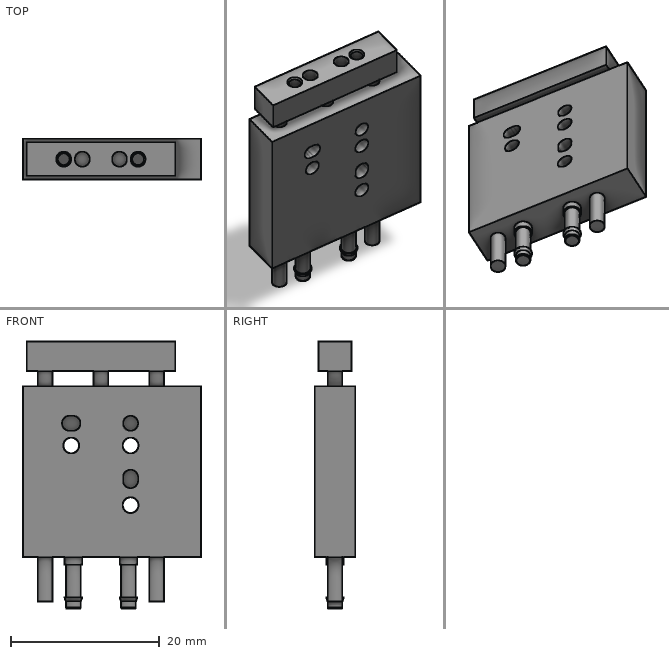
import cadquery as cq

HOUSING_LENGTH = 24.0
HOUSING_WIDTH = 5.5
HOUSING_HEIGHT = 23.0

BAR_LENGTH = 20.0
BAR_WIDTH = 4.5
BAR_HEIGHT = 4.0
BAR_OFFSET = 0.5
BAR_GAP = 2.0
ROD_DIAMETER = 2.0
GUIDE_ROD_SPACING = 15.0
GUIDE_ROD_PROTRUSION = 6.0

DOWEL_DIAMETER = 2.0
DOWEL_SPACING = 5.0
DOWEL_DEPTH = 2.0
SCREW_DIAMETER = 1.6
SCREW_MOUTH_DIAMETER = 2.0
SCREW_SPACING = 10.0
SCREW_DEPTH = 3.0
SCREW_MOUTH_DEPTH = (SCREW_MOUTH_DIAMETER - SCREW_DIAMETER) / 2

FITTING_SPACING = 7.4
FITTING_LENGTH = 7.0
STEM_RADIUS = 2.0 / 2
COLLAR_RADIUS = 2.4 / 2
COLLAR_LENGTH = 1.0
BARB_TOP = 5.45
BARB_HEIGHT = 0.55
TIP_CHAMFER_HEIGHT = 0.2
TIP_CHAMFER_WIDTH = 0.1

LEFT_COLUMN_X = 6.5
RIGHT_COLUMN_X = 14.5
LOCATING_ROW_Z = 18.0
UPPER_BOLT_Z = 15.0
LOWER_BOLT_Z = 7.0
LOWER_SLOT_Z = 10.5
BOLT_DIAMETER = 2.1
LOCATING_DIAMETER = 2.0
SLOT_LENGTH = 2.5
LOCATING_DEPTH = 2.0

AXIS_X = BAR_OFFSET + BAR_LENGTH / 2
BAR_BOTTOM = HOUSING_HEIGHT + BAR_GAP
BAR_TOP = BAR_BOTTOM + BAR_HEIGHT
GUIDE_ROD_LENGTH = BAR_BOTTOM + GUIDE_ROD_PROTRUSION


def mirrored_pair(spacing):
    """Points on the mid-plane, equally far on both sides of the bar axis."""
    return [(AXIS_X + side * spacing / 2, 0) for side in (-1, 1)]


def horizontal_plane(z):
    return cq.Workplane("XY", origin=(0, 0, z))


def front_face():
    """Sketch plane on the front of the housing; positive extrusion goes outward."""
    return cq.Workplane("XZ", origin=(0, -HOUSING_WIDTH / 2, 0))


def make_fitting(x, y):
    """Hose fitting: collar, stem, sharp-edged barb and chamfered tip, revolved about its own axis."""
    barb_bottom = BARB_TOP + BARB_HEIGHT
    profile = [
        (0, 0),
        (COLLAR_RADIUS, 0),
        (COLLAR_RADIUS, -COLLAR_LENGTH),
        (STEM_RADIUS, -COLLAR_LENGTH),
        (STEM_RADIUS, -BARB_TOP),
        (COLLAR_RADIUS, -BARB_TOP),
        (STEM_RADIUS, -barb_bottom),
        (STEM_RADIUS, TIP_CHAMFER_HEIGHT - FITTING_LENGTH),
        (STEM_RADIUS - TIP_CHAMFER_WIDTH, -FITTING_LENGTH),
        (0, -FITTING_LENGTH),
    ]
    fitting = cq.Workplane("XZ").polyline(profile).close().revolve(360, (0, 0), (0, 1))
    return fitting.translate((x, y, 0))


def make_housing():
    """Block with integral hose fittings, guide bores, bolt holes and locating holes."""
    housing = cq.Workplane("XY").box(
        HOUSING_LENGTH, HOUSING_WIDTH, HOUSING_HEIGHT, centered=(False, True, False)
    )
    for x, y in mirrored_pair(FITTING_SPACING):
        housing = housing.union(make_fitting(x, y))

    guide_bores = (
        cq.Workplane("XY")
        .pushPoints(mirrored_pair(GUIDE_ROD_SPACING))
        .circle(ROD_DIAMETER / 2)
        .extrude(HOUSING_HEIGHT)
    )
    housing = housing.cut(guide_bores)

    bolt_places = [
        (LEFT_COLUMN_X, UPPER_BOLT_Z),
        (RIGHT_COLUMN_X, UPPER_BOLT_Z),
        (RIGHT_COLUMN_X, LOWER_BOLT_Z),
    ]
    bolt_holes = front_face().pushPoints(bolt_places).circle(BOLT_DIAMETER / 2).extrude(-HOUSING_WIDTH)
    housing = housing.cut(bolt_holes)

    locating_hole = (
        front_face()
        .center(RIGHT_COLUMN_X, LOCATING_ROW_Z)
        .circle(LOCATING_DIAMETER / 2)
        .extrude(-LOCATING_DEPTH)
    )
    housing = housing.cut(locating_hole)

    for x, z, angle in [(LEFT_COLUMN_X, LOCATING_ROW_Z, 0), (RIGHT_COLUMN_X, LOWER_SLOT_Z, 90)]:
        slot = front_face().center(x, z).slot2D(SLOT_LENGTH, LOCATING_DIAMETER, angle)
        housing = housing.cut(slot.extrude(-LOCATING_DEPTH))
    return housing


def make_slide():
    """Bar carried on two long guide rods and a short central rod that meets the housing top."""
    slide = horizontal_plane(BAR_BOTTOM).center(AXIS_X, 0).rect(BAR_LENGTH, BAR_WIDTH).extrude(BAR_HEIGHT)

    guide_rods = (
        horizontal_plane(BAR_BOTTOM)
        .pushPoints(mirrored_pair(GUIDE_ROD_SPACING))
        .circle(ROD_DIAMETER / 2)
        .extrude(-GUIDE_ROD_LENGTH)
    )
    central_rod = horizontal_plane(BAR_BOTTOM).center(AXIS_X, 0).circle(ROD_DIAMETER / 2).extrude(-BAR_GAP)
    slide = slide.union(guide_rods).union(central_rod)

    dowel_holes = (
        horizontal_plane(BAR_TOP)
        .pushPoints(mirrored_pair(DOWEL_SPACING))
        .circle(DOWEL_DIAMETER / 2)
        .extrude(-DOWEL_DEPTH)
    )
    slide = slide.cut(dowel_holes)

    for x, y in mirrored_pair(SCREW_SPACING):
        drill = horizontal_plane(BAR_TOP).center(x, y).circle(SCREW_DIAMETER / 2).extrude(-SCREW_DEPTH)
        mouth = cq.Solid.makeCone(
            SCREW_MOUTH_DIAMETER / 2,
            SCREW_DIAMETER / 2,
            SCREW_MOUTH_DEPTH,
            pnt=cq.Vector(x, y, BAR_TOP),
            dir=cq.Vector(0, 0, -1),
        )
        slide = slide.cut(drill).cut(cq.Workplane(mouth))
    return slide


housing = make_housing()
slide = make_slide()

result = cq.Compound.makeCompound([housing.solids().val(), slide.solids().val()])